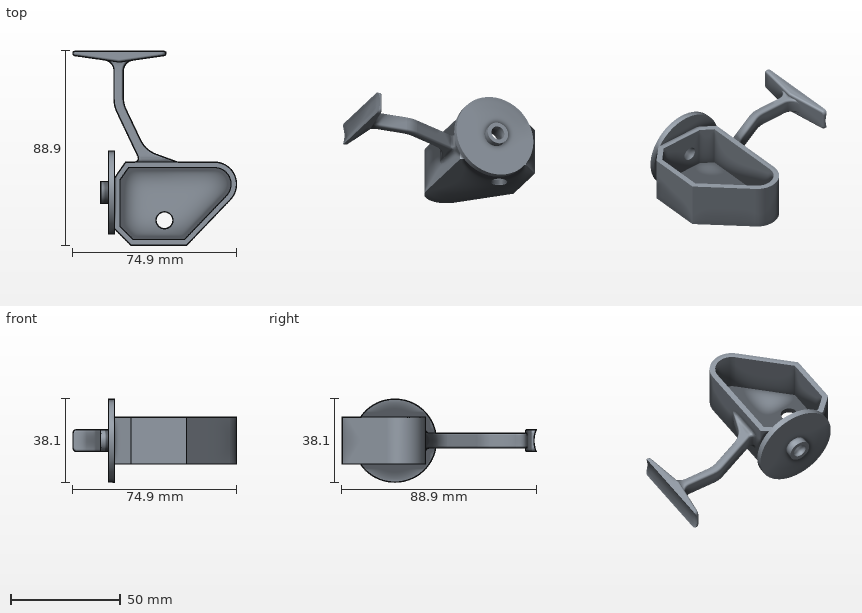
import cadquery as cq
import math


HOUSING_LENGTH = 55.88
HOUSING_HEIGHT = 21.59
BACK_Y = 13.97
FRONT_Y = -24.13
WALL = 2.54
BACK_CHAMFER_X = 5.08
BACK_CHAMFER_Y = 7.3
FRONT_CHAMFER = 7.5
FRONT_EDGE_END_X = 33.02
NOSE_RADIUS = 10.16
FLOOR_HOLE_DIAMETER = 7.62
FLOOR_HOLE_X = 22.86
FLOOR_HOLE_Y = -12.7

FLANGE_DIAMETER = 38.1
FLANGE_THICKNESS = 2.794
HUB_DIAMETER = 10.16
HUB_LENGTH = 3.556
BORE_DIAMETER = 6.35

BAR_LEFT_X = -19.05
BAR_LENGTH = 42.5
BAR_BACK_Y = 64.77
BAR_CENTRE_DEPTH = 5.08
BAR_END_DEPTH = 2.03
BAR_HEIGHT = 10.16
BAR_CORNER_RADIUS = 1.778
BAR_EDGE_RADIUS = 1.016
BAR_HOLLOW_RADIUS = 12.7

ARM_HEIGHT = 6.9
ARM_WIDTH = 4.3
ARM_LEFT_X = -0.25
ARM_LEFT_BEND_Y = 39.6
ARM_LEAN = math.radians(25.4)
BRACE_ANGLE = math.radians(20)
BRACE_CORNER_Y = 19.3
BEND_RADIUS = 12.7
FLARE_RADIUS = 5.08
FOOT_RADIUS = 1.778
ARM_EDGE_RADIUS = 0.95
EMBED = 1.27

bar_centre_x = BAR_LEFT_X + BAR_LENGTH / 2
bar_slope = (BAR_CENTRE_DEPTH - BAR_END_DEPTH) / (BAR_LENGTH / 2)


def slab(outline, height):
    """Extrude an XY outline to the given height, centred on Z = 0."""
    return outline.extrude(height / 2, both=True)


def x_cylinder(diameter, start_x, end_x):
    """Cylinder along X on the flange axis."""
    return cq.Workplane("YZ").workplane(offset=start_x).circle(diameter / 2).extrude(end_x - start_x)


def housing_outline():
    """Housing outline; the sloping side runs tangent into the rounded nose."""
    nose_x = HOUSING_LENGTH - NOSE_RADIUS
    nose_y = BACK_Y - NOSE_RADIUS
    dx = nose_x - FRONT_EDGE_END_X
    dy = nose_y - FRONT_Y
    side_angle = math.atan2(dy, dx) - math.asin(NOSE_RADIUS / math.hypot(dx, dy))
    tangent = (
        nose_x + NOSE_RADIUS * math.sin(side_angle),
        nose_y - NOSE_RADIUS * math.cos(side_angle),
    )
    return (
        cq.Workplane("XY")
        .moveTo(0, BACK_Y - BACK_CHAMFER_Y)
        .lineTo(BACK_CHAMFER_X, BACK_Y)
        .lineTo(nose_x, BACK_Y)
        .threePointArc((HOUSING_LENGTH, nose_y), tangent)
        .lineTo(FRONT_EDGE_END_X, FRONT_Y)
        .lineTo(FRONT_CHAMFER, FRONT_Y)
        .lineTo(0, FRONT_Y + FRONT_CHAMFER)
        .close()
    )


def make_housing():
    """Solid block of the housing, before it is hollowed."""
    return slab(housing_outline(), HOUSING_HEIGHT)


def make_cavity():
    """Pocket that leaves the side walls and the floor."""
    floor_z = WALL - HOUSING_HEIGHT / 2
    return (
        housing_outline()
        .offset2D(-WALL, "intersection")
        .extrude(HOUSING_HEIGHT - WALL)
        .translate((0, 0, floor_z))
    )


def make_floor_hole():
    """Round hole through the housing floor."""
    outline = cq.Workplane("XY").center(FLOOR_HOLE_X, FLOOR_HOLE_Y).circle(FLOOR_HOLE_DIAMETER / 2)
    return slab(outline, HOUSING_HEIGHT)


def make_flange():
    """Round flange with the hub standing out on its -X side."""
    flange = x_cylinder(FLANGE_DIAMETER, -FLANGE_THICKNESS, 0)
    hub = x_cylinder(HUB_DIAMETER, -FLANGE_THICKNESS - HUB_LENGTH, 0)
    return flange.union(hub)


def make_bore():
    """Bore through the hub, the flange and the housing wall into the cavity."""
    return x_cylinder(BORE_DIAMETER, -FLANGE_THICKNESS - HUB_LENGTH, HOUSING_LENGTH / 2)


def bar_front_y(x):
    """Y of the bar's two sloping front faces at the given X."""
    return BAR_BACK_Y - BAR_CENTRE_DEPTH + bar_slope * abs(x - bar_centre_x)


def make_bar():
    """Shallow triangular bar with rounded front edges and a hollowed back."""
    right_x = BAR_LEFT_X + BAR_LENGTH
    outline = cq.Workplane("XY").polyline([
        (BAR_LEFT_X, BAR_BACK_Y),
        (BAR_LEFT_X, bar_front_y(BAR_LEFT_X)),
        (bar_centre_x, bar_front_y(bar_centre_x)),
        (right_x, bar_front_y(right_x)),
        (right_x, BAR_BACK_Y),
    ]).close()
    bar = slab(outline, BAR_HEIGHT)
    bar = bar.faces("<X or >X").edges("|Y").fillet(BAR_CORNER_RADIUS)
    bar = bar.faces("<Y").edges("not <Y").fillet(BAR_EDGE_RADIUS)
    hollow_y = BAR_BACK_Y + math.sqrt(BAR_HOLLOW_RADIUS**2 - (BAR_HEIGHT / 2) ** 2)
    hollow = (
        cq.Workplane("YZ")
        .workplane(offset=BAR_LEFT_X)
        .center(hollow_y, 0)
        .circle(BAR_HOLLOW_RADIUS)
        .extrude(BAR_LENGTH)
    )
    return bar.cut(hollow)


def arm_left_x(y):
    """X of the left side of the arm's leaning stretch at the given Y."""
    return ARM_LEFT_X + (ARM_LEFT_BEND_Y - y) * math.tan(ARM_LEAN)


def round_corner(body, corner, radius):
    """Round the Z-parallel edge of the body that stands at the given XY corner."""
    return body.edges("|Z").edges(cq.selectors.NearestToPointSelector((*corner, 0))).fillet(radius)


def make_arm():
    """Bent arm that flares into the bar and braces against the housing."""
    right_x = ARM_LEFT_X + ARM_WIDTH
    foot_y = BACK_Y - EMBED

    left_foot = (arm_left_x(foot_y), foot_y)
    left_bend = (ARM_LEFT_X, ARM_LEFT_BEND_Y)
    left_joint = (ARM_LEFT_X, bar_front_y(ARM_LEFT_X))
    left_tip = (ARM_LEFT_X - FLARE_RADIUS, bar_front_y(ARM_LEFT_X - FLARE_RADIUS))
    right_tip = (right_x + FLARE_RADIUS, bar_front_y(right_x + FLARE_RADIUS))
    right_joint = (right_x, bar_front_y(right_x))
    right_bend = (right_x, ARM_LEFT_BEND_Y + ARM_WIDTH * math.tan(ARM_LEAN / 2))
    brace_corner_x = right_x + (right_bend[1] - BRACE_CORNER_Y) * math.tan(ARM_LEAN)
    brace_corner = (brace_corner_x, BRACE_CORNER_Y)
    brace_foot = (brace_corner_x + (BRACE_CORNER_Y - foot_y) / math.tan(BRACE_ANGLE), foot_y)

    outline = cq.Workplane("XY").polyline([
        left_foot,
        left_bend,
        left_joint,
        left_tip,
        (left_tip[0], left_tip[1] + EMBED),
        (right_tip[0], right_tip[1] + EMBED),
        right_tip,
        right_joint,
        right_bend,
        brace_corner,
        brace_foot,
    ]).close()
    arm = slab(outline, ARM_HEIGHT)
    for bend in (left_bend, right_bend, brace_corner):
        arm = round_corner(arm, bend, BEND_RADIUS)
    for joint in (left_joint, right_joint):
        arm = round_corner(arm, joint, FLARE_RADIUS)

    middle_y = (ARM_LEFT_BEND_Y + BAR_BACK_Y) / 2
    for side_x in (ARM_LEFT_X, right_x):
        for side_z in (-ARM_HEIGHT / 2, ARM_HEIGHT / 2):
            long_edge = cq.selectors.NearestToPointSelector((side_x, middle_y, side_z))
            arm = arm.edges("|Y").edges(long_edge).fillet(ARM_EDGE_RADIUS)
    return arm


def round_foot(body):
    """Blend the foot of the arm into the back wall of the housing, all the way round."""
    foot_left_x = arm_left_x(BACK_Y)
    return round_corner(body, (foot_left_x, BACK_Y), FOOT_RADIUS)


result = round_foot(make_housing().union(make_arm()))
result = result.union(make_bar()).union(make_flange())
result = result.cut(make_cavity()).cut(make_floor_hole()).cut(make_bore())